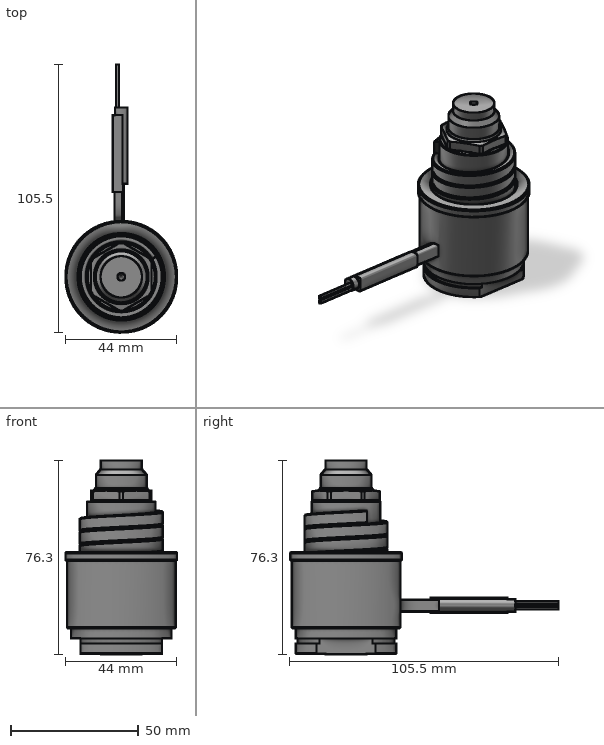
import cadquery as cq
import math


total_length = 105.5
flange_diameter = 44.0

total_height = 76.3
foot_top = 0.3
disc_top = 4.4
undercut_top = 6.3
collar_top = 10.3
flange_bottom = 36.8
flange_top = 40.3
sleeve_top = 60.2
nut_bottom = 60.7
nut_top = 64.1
boss_bottom = 65.5
boss_shoulder = 70.6
tip_bottom = 72.8

foot_radius = 8.0
disc_radius = 19.8
undercut_radius = 19.1
collar_radius = 19.8
body_radius = 21.4
flange_radius = flange_diameter / 2
sleeve_radius = 13.5
relief_radius = 11.1
boss_radius = 10.0
boss_root_radius = 10.8
boss_root_height = 0.4
tip_radius = 8.1
edge_break = 0.5
small_break = 0.3

nut_sides = 6
nut_across_flats = 23.7
nut_corner_radius = 13.3
flat_distance = 16.0

pit_radius = 1.5
pit_depth = 3.2

spring_outer_radius = 16.4
spring_pitch = 5.3
spring_gap = 0.2
spring_turns = 3.5
spring_end_angle = 30
spring_end_top = 56.7
spring_corner = 0.4
spring_overlap = 0.3
recess_radius = 16.9
recess_depth = 5.3

lead_height = 19.3
cable_left = -2.7
cable_right = 0.4
cable_bottom = 16.7
cable_top = 21.7
cable_corner = 0.6
strip_right = 1.2
strip_depth = 4.2
clip_left = -3.4
clip_right = 0.6
clip_bottom = 16.4
clip_top = 22.4
clip_corner = 1.0
clip_start = 33.2
clip_end = 63.5
ferrule_radius = 2.5
ferrule_start = 36.5
ferrule_end = 66.6
wire_radius = 0.6
wire_spacing = 2.1
wire_x = -1.5
wire_end = total_length - flange_radius
lead_start = 15.8


def turned_body():
    """Revolve the stepped outline of the body, including the nut's blank."""
    recess_floor = flange_top - recess_depth
    outline = [
        (0, 0),
        (foot_radius, 0),
        (foot_radius, foot_top),
        (disc_radius - small_break, foot_top),
        (disc_radius, foot_top + small_break),
        (disc_radius, disc_top),
        (undercut_radius, disc_top),
        (undercut_radius, undercut_top),
        (collar_radius, undercut_top),
        (collar_radius, collar_top),
        (body_radius - edge_break, collar_top),
        (body_radius, collar_top + edge_break),
        (body_radius, flange_bottom),
        (flange_radius - edge_break, flange_bottom),
        (flange_radius, flange_bottom + edge_break),
        (flange_radius, flange_top - edge_break),
        (flange_radius - edge_break, flange_top),
        (recess_radius + small_break, flange_top),
        (recess_radius, flange_top - small_break),
        (recess_radius, recess_floor),
        (sleeve_radius, recess_floor),
        (sleeve_radius, sleeve_top - small_break),
        (sleeve_radius - small_break, sleeve_top),
        (relief_radius, sleeve_top),
        (relief_radius, nut_top),
        (boss_root_radius, nut_top + boss_root_height),
        (boss_radius, boss_bottom),
        (boss_radius, boss_shoulder),
        (tip_radius + small_break, tip_bottom - small_break),
        (tip_radius, tip_bottom),
        (tip_radius, total_height),
        (pit_radius, total_height),
        (0, total_height - pit_depth),
    ]
    return cq.Workplane("XZ").polyline(outline).close().revolve(360, (0, 0), (0, 1))


def nut():
    """Hexagon with corners on +-Y, rounded and coned at its top."""
    height = nut_top + boss_root_height - nut_bottom
    half_sector = math.pi / nut_sides
    hexagon = (
        cq.Workplane("XY", origin=(0, 0, nut_bottom))
        .polygon(nut_sides, nut_across_flats / math.cos(half_sector))
        .extrude(height)
        .rotate((0, 0, 0), (0, 0, 1), math.degrees(half_sector))
    )
    envelope = (
        cq.Workplane("XZ")
        .moveTo(0, nut_bottom)
        .lineTo(nut_corner_radius, nut_bottom)
        .lineTo(nut_corner_radius, nut_top)
        .lineTo(boss_root_radius, nut_top + boss_root_height)
        .lineTo(0, nut_top + boss_root_height)
        .close()
        .revolve(360, (0, 0), (0, 1))
    )
    return hexagon.intersect(envelope)


def flat_cutters():
    """Blocks that leave two parallel flats on the disc and undercut."""
    cutters = cq.Workplane("XY")
    for side in (-1, 1):
        block = cq.Workplane("XY").box(
            disc_radius, 2 * flange_radius, undercut_top, centered=(True, True, False)
        )
        cutters = cutters.union(block.translate((side * (flat_distance + disc_radius / 2), 0, 0)))
    return cutters


def spring():
    """Right-handed coil of rectangular wire with broken edges, rooted in the sleeve."""
    wire_height = spring_pitch - spring_gap
    root_radius = sleeve_radius - spring_overlap
    root_corner = spring_corner + spring_overlap
    rise = spring_pitch * spring_turns
    path = cq.Wire.makeHelix(spring_pitch, rise, spring_outer_radius)
    section = (
        cq.Workplane("XZ")
        .moveTo(root_radius, root_corner)
        .lineTo(root_radius + root_corner, 0)
        .lineTo(spring_outer_radius - spring_corner, 0)
        .lineTo(spring_outer_radius, spring_corner)
        .lineTo(spring_outer_radius, wire_height - spring_corner)
        .lineTo(spring_outer_radius - spring_corner, wire_height)
        .lineTo(root_radius + root_corner, wire_height)
        .lineTo(root_radius, wire_height - root_corner)
        .close()
    )
    coil = section.sweep(cq.Workplane(path), isFrenet=True)
    start_angle = spring_end_angle - 360 * spring_turns
    coil = coil.rotate((0, 0, 0), (0, 0, 1), start_angle)
    return coil.translate((0, 0, spring_end_top - wire_height - rise))


def bar_along_y(left, right, bottom, top, start, end):
    """Square-edged bar along Y, given by its limits."""
    return (
        cq.Workplane("XY")
        .box(right - left, end - start, top - bottom, centered=False)
        .translate((left, start, bottom))
    )


def rod_along_y(x, z, radius, start, end):
    """Round rod along Y."""
    return cq.Workplane("XZ", origin=(x, start, z)).circle(radius).extrude(start - end)


def lead():
    """Cable with a side strip, held by a rounded clip and a ferrule, ending in two wires."""
    cable = bar_along_y(cable_left, cable_right, cable_bottom, cable_top, lead_start, clip_end)
    cable = cable.edges("|Y").fillet(cable_corner)
    strip_left = (cable_left + cable_right) / 2
    strip_bottom = lead_height - strip_depth / 2
    strip_top = lead_height + strip_depth / 2
    strip = bar_along_y(strip_left, strip_right, strip_bottom, strip_top, lead_start, clip_end)
    clip = bar_along_y(clip_left, clip_right, clip_bottom, clip_top, clip_start, clip_end)
    clip = clip.edges("|Y").fillet(clip_corner)
    ferrule = rod_along_y(0, lead_height, ferrule_radius, ferrule_start, ferrule_end)
    assembly = cable.union(strip).union(clip).union(ferrule)
    for side in (-1, 1):
        wire_z = lead_height + side * wire_spacing / 2
        assembly = assembly.union(rod_along_y(wire_x, wire_z, wire_radius, clip_end, wire_end))
    return assembly


body = turned_body().cut(flat_cutters()).union(nut())
result = body.union(spring()).union(lead())